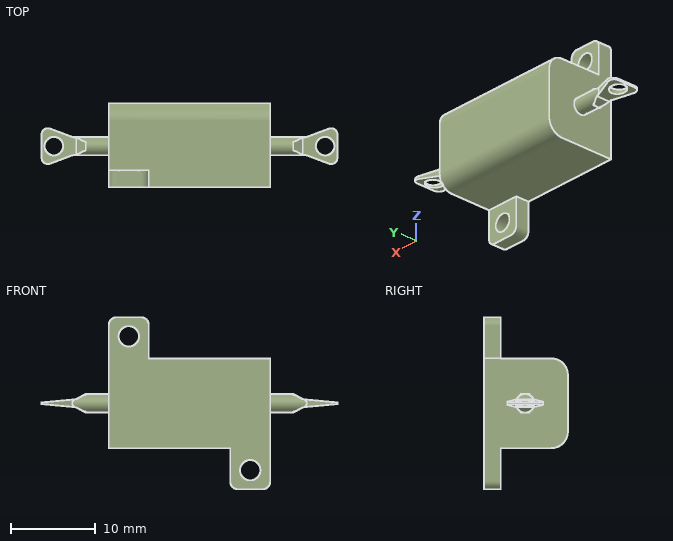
import cadquery as cq

total_length = 34.9
total_height = 20.3
depth = 9.9

body_length = 19.05
body_height = 10.6
back_radius = 2.0

tab_width = 4.75
tab_thickness = 2.0
tab_corner_radius = 0.95
tab_hole_diameter = 2.37
tab_hole_offset = 7.9

lead_y = 4.85
rod_diameter = 2.2
eye_diameter = 2.15
eye_from_tip = 1.45
eyelet_tip_width = 4.92
eyelet_root_width = 1.0
eyelet_corner_radius = 0.77
tip_thickness = 0.2
bevel_start_thickness = 0.98
bevel_start_from_tip = 4.08
bevel_end_from_tip = 5.2

tip_x = -total_length / 2
body_end_x = -body_length / 2
rod_radius = rod_diameter / 2


def make_body():
    block = cq.Workplane("XY").box(body_length, depth, body_height)
    return block.translate((0, depth / 2, 0)).edges(">Y and |X").fillet(back_radius)


def make_tab():
    """Upper tab at the -X end, reaching down to the middle of the body."""
    tab_height = total_height / 2
    tab_x = body_end_x + tab_width / 2
    tab = (
        cq.Workplane("XY")
        .box(tab_width, tab_thickness, tab_height)
        .edges(">Z and |Y")
        .fillet(tab_corner_radius)
        .translate((tab_x, tab_thickness / 2, tab_height / 2))
    )
    hole = (
        cq.Workplane("XZ")
        .center(tab_x, tab_hole_offset)
        .circle(tab_hole_diameter / 2)
        .extrude(-tab_thickness)
    )
    return tab.cut(hole)


def make_lead():
    """Lead at the -X end, built on the X axis and then moved to its depth in Y."""
    rod = cq.Workplane("YZ").workplane(offset=tip_x).circle(rod_radius).extrude(body_end_x - tip_x)

    root_x = tip_x + bevel_end_from_tip
    eyelet = (
        cq.Workplane("XY")
        .polyline([
            (tip_x, -eyelet_tip_width / 2),
            (root_x, -eyelet_root_width / 2),
            (root_x, eyelet_root_width / 2),
            (tip_x, eyelet_tip_width / 2),
        ])
        .close()
        .extrude(rod_radius, both=True)
        .edges("|Z and <X")
        .fillet(eyelet_corner_radius)
    )
    blank = eyelet.union(rod)

    upper_profile = [
        (tip_x, tip_thickness / 2),
        (tip_x + bevel_start_from_tip, bevel_start_thickness / 2),
        (tip_x + bevel_end_from_tip, rod_radius),
        (body_end_x, rod_radius),
    ]
    lower_profile = [(x, -z) for x, z in reversed(upper_profile)]
    flattening = (
        cq.Workplane("XZ")
        .polyline(upper_profile + lower_profile)
        .close()
        .extrude(eyelet_tip_width, both=True)
    )
    eye = (
        cq.Workplane("XY")
        .center(tip_x + eye_from_tip, 0)
        .circle(eye_diameter / 2)
        .extrude(rod_radius, both=True)
    )
    return blank.intersect(flattening).cut(eye).translate((0, lead_y, 0))


end_features = make_tab().union(make_lead())
result = make_body()
for angle in (0, 180):
    result = result.union(end_features.rotate((0, 0, 0), (0, 1, 0), angle))